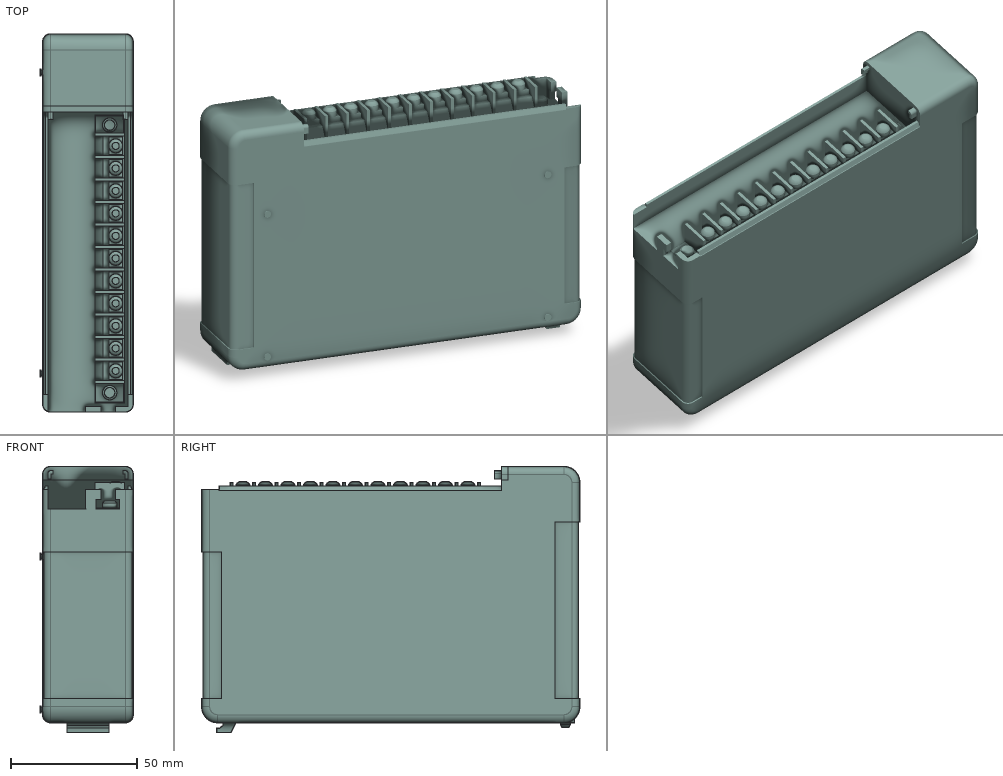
import cadquery as cq

OVERALL_WIDTH = 36.96
OVERALL_HEIGHT = 105.56
CASE_WIDTH = 36.0
CASE_LENGTH = 149.99
CASE_HEIGHT = 101.7
CENTRE_X = CASE_WIDTH / 2
CORNER_RADIUS = 6.4
EDGE_RADIUS = 3.2
HEAD_FRONT_Y = 118.9
WALL_TOP_Z = 92.6

CHANNEL_LEFT_X = 2.2
CHANNEL_RIGHT_X = CASE_WIDTH - CHANNEL_LEFT_X
FLOOR_Z = 84.8

LIP_FRONT_Y = 6.95
LIP_FOOT_Z = 92.1
LIP_TOP_Z = 94.0
LIP_FOOT_X = 0.3
LIP_TOP_X = 1.15

FRONT_WALL_LEFT_X = 17.1
FRONT_WALL_THICKNESS = 2.3
NOTCH_LEFT_X = 23.2
NOTCH_RIGHT_X = 29.0
WINDOW_LEFT_X = 21.2
WINDOW_RIGHT_X = 30.5
WINDOW_TOP_Z = 88.6

GRIP_DEPTH = 0.5
GRIP_BOTTOM_Z = 9.7
FRONT_GRIP_TOP_Z = 67.7
FRONT_GRIP_LENGTH = 7.9
REAR_GRIP_TOP_Z = 79.7
REAR_GRIP_LENGTH = 9.8

HOOK_WIDTH = 16.8
HOOK_DROP = OVERALL_HEIGHT - CASE_HEIGHT
HOOK_REAR_Y = 13.6
HOOK_TOE_Y = 6.0
HOOK_HEEL_Y = 11.7
HOOK_NECK_Y = 8.4
HOOK_NECK_Z = -1.1
HOOK_SHOULDER_Y = 7.1
HOOK_TOE_Z = -2.1
FOOT_FRONT_Y = 144.2
FOOT_REAR_Y = 147.9
FOOT_HEIGHT = 4.0

FOOT_SCREW_Y = 144.2
FOOT_SCREW_RADIUS = 2.0
FOOT_SCREW_TIP_RADIUS = 1.4
FOOT_SCREW_RIM = 0.7
FOOT_SCREW_HEIGHT = 1.8

BAR_DEPTH = 2.5
BAR_BOTTOM_Z = 96.3
PRONG_LENGTH = 2.8
PRONG_BOTTOM_Z = 96.6
PRONG_TOP_Z = 100.0
PRONG_FLANGE_Z = 98.7
PRONG_OUTER_X = 2.1
PRONG_LEG_WIDTH = 1.2
PRONG_FLANGE_WIDTH = 2.0
PRONG_RADIUS = 1.1

BLOCK_LEFT_X = 20.7
BLOCK_RIGHT_X = 32.5
BLOCK_FRONT_Y = 3.7
BLOCK_REAR_Y = 117.8
FLANGE_TOP_Z = 85.2
FLANGE_CHAMFER = 0.35
BARRIER_COUNT = 12
BARRIER_PITCH = 8.92
BARRIER_THICKNESS = 1.2
BARRIER_TOP_Z = 95.2
FIRST_BARRIER_Y = 11.9
STEP_Z = 89.9
SLOPE_WIDTH = 3.2
PLATE_LEFT_X = 26.25
PLATE_RIGHT_X = 31.6
PLATE_WIDTH = 7.0
PLATE_TOP_Z = 92.0
TERMINAL_X = 29.0
TERMINAL_RADIUS = 2.75
TERMINAL_TIP_RADIUS = 1.4
TERMINAL_RIM_Z = 94.3
TERMINAL_TOP_Z = 95.6
TERMINAL_DOME_MIDDLE = (2.2, 95.1)

BLOCK_SCREW_X = 26.6
BLOCK_SCREW_YS = (7.7, 113.8)
BLOCK_SCREW_RADIUS = 2.85
BLOCK_SCREW_HEIGHT = 2.8
BLOCK_SCREW_CHAMFER = 0.8

PIN_YS = (15.3, 134.7)
PIN_ZS = (5.3, 65.9)
PIN_LENGTH = OVERALL_WIDTH - CASE_WIDTH
PIN_NECK_RADIUS = 1.0
PIN_HEAD_RADIUS = 1.4
PIN_HEAD_THICKNESS = 0.4


def box(x0, x1, y0, y1, z0, z1):
    """Box between two opposite corners."""
    return cq.Workplane("XY").box(x1 - x0, y1 - y0, z1 - z0, centered=False).translate((x0, y0, z0))


def side_prism(points, x0, x1):
    """Closed Y-Z outline extruded from x0 to x1."""
    return cq.Workplane("YZ").polyline(points).close().extrude(x1 - x0).translate((x0, 0, 0))


def rounded_shell(inset):
    """Full rounded brick of the case, shrunk on every side by the inset."""
    brick = box(inset, CASE_WIDTH - inset, inset, CASE_LENGTH - inset, inset, CASE_HEIGHT - inset)
    brick = brick.edges("|X").fillet(CORNER_RADIUS - inset)
    return brick.faces("<X or >X").edges().fillet(EDGE_RADIUS - inset)


def grip_recess(y0, y1, z_top):
    """Skin removed around one end of the case."""
    slab = box(0, CASE_WIDTH, y0, y1, GRIP_BOTTOM_Z, z_top)
    return slab.cut(rounded_shell(GRIP_DEPTH))


def lips():
    """Raised lips along both side walls."""
    outline = [
        (LIP_FOOT_X, LIP_FOOT_Z),
        (LIP_TOP_X, LIP_TOP_Z),
        (CHANNEL_LEFT_X, LIP_TOP_Z),
        (CHANNEL_LEFT_X, LIP_FOOT_Z),
    ]
    lip_length = HEAD_FRONT_Y - LIP_FRONT_Y
    left = cq.Workplane("XZ").polyline(outline).close().extrude(-lip_length).translate((0, LIP_FRONT_Y, 0))
    return left.union(left.mirror("YZ").translate((CASE_WIDTH, 0, 0)))


def channel():
    """Space for the terminal block, stopping short at the notched part-width front wall."""
    space = box(CHANNEL_LEFT_X, CHANNEL_RIGHT_X, 0, HEAD_FRONT_Y, FLOOR_Z, CASE_HEIGHT)
    wall = box(FRONT_WALL_LEFT_X, CHANNEL_RIGHT_X, 0, FRONT_WALL_THICKNESS, FLOOR_Z, CASE_HEIGHT)
    notch = box(NOTCH_LEFT_X, NOTCH_RIGHT_X, 0, FRONT_WALL_THICKNESS, FLOOR_Z, CASE_HEIGHT)
    window = box(WINDOW_LEFT_X, WINDOW_RIGHT_X, 0, FRONT_WALL_THICKNESS, FLOOR_Z, WINDOW_TOP_Z)
    return space.cut(wall.cut(notch).cut(window))


def hook():
    """Hook under the front of the case."""
    outline = [
        (HOOK_REAR_Y, 0),
        (HOOK_HEEL_Y, -HOOK_DROP),
        (HOOK_TOE_Y, -HOOK_DROP),
        (HOOK_TOE_Y, HOOK_TOE_Z),
        (HOOK_SHOULDER_Y, HOOK_TOE_Z),
        (HOOK_NECK_Y, HOOK_NECK_Z),
        (HOOK_NECK_Y, 0),
    ]
    return side_prism(outline, CENTRE_X - HOOK_WIDTH / 2, CENTRE_X + HOOK_WIDTH / 2)


def foot():
    """Block that fills in under the rounded rear bottom edge."""
    half_width = HOOK_WIDTH / 2
    return box(CENTRE_X - half_width, CENTRE_X + half_width, FOOT_FRONT_Y, FOOT_REAR_Y, 0, FOOT_HEIGHT)


def make_case():
    case = rounded_shell(0)
    case = case.cut(box(0, CASE_WIDTH, 0, HEAD_FRONT_Y, WALL_TOP_Z, CASE_HEIGHT))
    case = case.cut(box(0, CASE_WIDTH, LIP_FRONT_Y, HEAD_FRONT_Y, LIP_FOOT_Z, CASE_HEIGHT))
    case = case.cut(channel()).union(lips())
    case = case.cut(box(0, CASE_WIDTH, HEAD_FRONT_Y, HEAD_FRONT_Y + BAR_DEPTH, BAR_BOTTOM_Z, CASE_HEIGHT))
    case = case.cut(grip_recess(0, FRONT_GRIP_LENGTH, FRONT_GRIP_TOP_Z))
    case = case.cut(grip_recess(CASE_LENGTH - REAR_GRIP_LENGTH, CASE_LENGTH, REAR_GRIP_TOP_Z))
    return case.union(hook()).union(foot())


def prong():
    """Left hinge prong: a leg with a flange that turns inward at its top."""
    front_y = HEAD_FRONT_Y - PRONG_LENGTH
    flange_right_x = PRONG_OUTER_X + PRONG_FLANGE_WIDTH
    block = box(PRONG_OUTER_X, flange_right_x, front_y, HEAD_FRONT_Y, PRONG_BOTTOM_Z, PRONG_TOP_Z)
    block = block.edges("|Y and <X and >Z").fillet(PRONG_RADIUS)
    leg_right_x = PRONG_OUTER_X + PRONG_LEG_WIDTH
    under_flange = box(leg_right_x, flange_right_x, front_y, HEAD_FRONT_Y, PRONG_BOTTOM_Z, PRONG_FLANGE_Z)
    return block.cut(under_flange)


def make_hinge_bar():
    """Bar across the top front of the head, with a prong near each end."""
    seat = box(0, CASE_WIDTH, HEAD_FRONT_Y, HEAD_FRONT_Y + BAR_DEPTH, BAR_BOTTOM_Z, CASE_HEIGHT)
    left_prong = prong()
    right_prong = left_prong.mirror("YZ").translate((CASE_WIDTH, 0, 0))
    return rounded_shell(0).intersect(seat).union(left_prong).union(right_prong)


def terminal(y):
    """Square plate and domed screw head of one terminal."""
    plate_front_y = y - PLATE_WIDTH / 2
    plate = box(PLATE_LEFT_X, PLATE_RIGHT_X, plate_front_y, plate_front_y + PLATE_WIDTH, STEP_Z, PLATE_TOP_Z)
    head = (
        cq.Workplane("XZ")
        .moveTo(0, PLATE_TOP_Z)
        .lineTo(TERMINAL_RADIUS, PLATE_TOP_Z)
        .lineTo(TERMINAL_RADIUS, TERMINAL_RIM_Z)
        .threePointArc(TERMINAL_DOME_MIDDLE, (TERMINAL_TIP_RADIUS, TERMINAL_TOP_Z))
        .lineTo(0, TERMINAL_TOP_Z)
        .close()
        .revolve(360, (0, 0, 0), (0, 1, 0))
        .translate((TERMINAL_X, y, 0))
    )
    return plate.union(head)


def make_terminal_block():
    last_barrier_y = FIRST_BARRIER_Y + (BARRIER_COUNT - 1) * BARRIER_PITCH
    block = box(BLOCK_LEFT_X, BLOCK_RIGHT_X, BLOCK_FRONT_Y, BLOCK_REAR_Y, FLOOR_Z, FLANGE_TOP_Z)
    block = block.faces(">Z").chamfer(FLANGE_CHAMFER)
    core = (
        cq.Workplane("XZ")
        .moveTo(BLOCK_LEFT_X, FLOOR_Z)
        .lineTo(BLOCK_LEFT_X + SLOPE_WIDTH, STEP_Z)
        .lineTo(BLOCK_RIGHT_X, STEP_Z)
        .lineTo(BLOCK_RIGHT_X, FLOOR_Z)
        .close()
        .extrude(-(last_barrier_y - FIRST_BARRIER_Y))
        .translate((0, FIRST_BARRIER_Y, 0))
    )
    block = block.union(core)
    half = BARRIER_THICKNESS / 2
    for i in range(BARRIER_COUNT):
        y = FIRST_BARRIER_Y + i * BARRIER_PITCH
        block = block.union(box(BLOCK_LEFT_X, BLOCK_RIGHT_X, y - half, y + half, FLOOR_Z, BARRIER_TOP_Z))
    for i in range(BARRIER_COUNT - 1):
        block = block.union(terminal(FIRST_BARRIER_Y + (i + 0.5) * BARRIER_PITCH))
    return block


def make_block_screw(y):
    head = cq.Workplane("XY").circle(BLOCK_SCREW_RADIUS).extrude(BLOCK_SCREW_HEIGHT)
    head = head.faces(">Z").chamfer(BLOCK_SCREW_CHAMFER)
    return head.translate((BLOCK_SCREW_X, y, FLANGE_TOP_Z))


def make_foot_screw():
    """Tapered screw head under the foot."""
    outline = [
        (0, 0),
        (FOOT_SCREW_RADIUS, 0),
        (FOOT_SCREW_RADIUS, -FOOT_SCREW_RIM),
        (FOOT_SCREW_TIP_RADIUS, -FOOT_SCREW_HEIGHT),
        (0, -FOOT_SCREW_HEIGHT),
    ]
    head = cq.Workplane("XZ").polyline(outline).close().revolve(360, (0, 0, 0), (0, 1, 0))
    return head.translate((CENTRE_X, FOOT_SCREW_Y, 0))


def make_side_pin(y, z):
    """Headed pin standing out of the left face."""
    neck = cq.Workplane("YZ").circle(PIN_NECK_RADIUS).extrude(-PIN_LENGTH)
    head = cq.Workplane("YZ").circle(PIN_HEAD_RADIUS).extrude(PIN_HEAD_THICKNESS)
    head = head.translate((-PIN_LENGTH, 0, 0))
    return neck.union(head).translate((0, y, z))


case = make_case()
hinge_bar = make_hinge_bar()
terminal_block = make_terminal_block()
block_screws = [make_block_screw(y) for y in BLOCK_SCREW_YS]
foot_screw = make_foot_screw()
side_pins = [make_side_pin(y, z) for y in PIN_YS for z in PIN_ZS]

result = cq.Compound.makeCompound([
    case.val(),
    hinge_bar.val(),
    terminal_block.val(),
    *[screw.val() for screw in block_screws],
    foot_screw.val(),
    *[pin.val() for pin in side_pins],
])